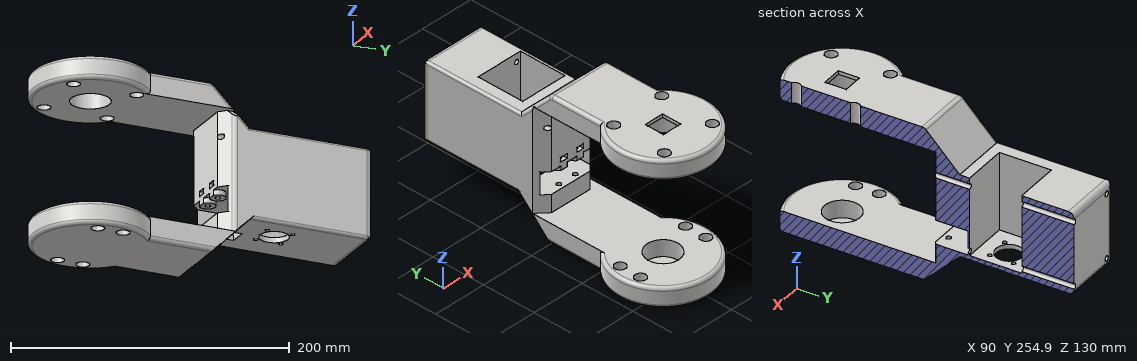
import cadquery as cq
import math

total_height = 130.0
arm_thickness = 18.0
disc_radius = 45.0
body_width = 60.0
body_height = 70.0
back_y = 209.87
slope_start_y = 113.2
wall_front_y = 91.2

arm_round = 3.0
knee_round = 5.0
body_round = 2.2
back_round = 5.0

top_z = total_height / 2
inner_z = top_z - arm_thickness
half_width = body_width / 2
half_body = body_height / 2
knee_y = slope_start_y - (top_z - half_body)
root_depth = 5.0
root_y = slope_start_y + root_depth
root_z = half_body - root_depth

chamfer_x = 10.0
chamfer_y = 9.2
chamfer_end_y = wall_front_y + chamfer_y
wall_corner_round = 5.0

relief_width = 4.5
relief_height = 5.0
relief_back_y = 103.5

disc_hole_d = 10.0
bore_d = 30.0
bore_depth = 15.0
square_side = 18.0
upper_hole_offset = (25.0, 25.0)
lower_hole_offset = (34.0, 10.0)

well_side = 44.0
well_x = 4.0
well_y = 143.6
floor_z = -31.0
well_bore_d = 22.0
well_screw_d = 3.3
well_screw_offset = 10.0

long_hole_d = 4.2
long_hole_x = 22.0
long_hole_z = 27.5

recess_width = 52.0
recess_height = 20.0
recess_back_y = 120.0
recess_top_z = floor_z + recess_height
cable_slot_x = (-14.0, 0.0)
cable_slot_front_y = 114.0
boss_x = (-7.0, 10.0)
boss_y = 96.2
boss_d = 12.0
boss_height = 4.0
boss_hole_d = 4.0
nut_flats = 7.0
nut_slot_height = 4.0
nut_slot_bottom_z = -7.5


def block(x0, x1, y0, y1, z0, z1):
    """Box given by its limits."""
    return cq.Workplane("XY").box(x1 - x0, y1 - y0, z1 - z0, centered=False).translate((x0, y0, z0))


def rod(x, y, z0, z1, diameter):
    """Vertical cylinder."""
    return cq.Workplane("XY").workplane(offset=z0).center(x, y).circle(diameter / 2).extrude(z1 - z0)


def mirrored_offsets(offset):
    """The four sign combinations of an (x, y) offset."""
    return [(sx * offset[0], sy * offset[1]) for sx in (-1, 1) for sy in (-1, 1)]


def make_fork():
    """C-shaped side outline: two arms, two 45 degree flares and the front wall."""
    outline = [
        (root_y, root_z),
        (knee_y, top_z),
        (0, top_z),
        (0, inner_z),
        (wall_front_y, inner_z),
        (wall_front_y, -inner_z),
        (0, -inner_z),
        (0, -top_z),
        (knee_y, -top_z),
        (root_y, -root_z),
    ]
    fork = cq.Workplane("YZ").polyline(outline).close().extrude(half_width, both=True)
    fork = fork.edges(cq.NearestToPointSelector((0, knee_y, top_z))).fillet(knee_round)
    fork = fork.faces(">Z").edges("|Y").fillet(arm_round)
    fork = fork.faces("<Z").edges("|Y").fillet(arm_round)
    return fork.cut(make_wall_corner_waste()).cut(make_corner_relief())


def make_wall_corner_waste():
    """Material beside the chamfered front wall, between the arms."""
    end_y = chamfer_end_y + wall_corner_round
    plan = [
        (-half_width, end_y),
        (-half_width, chamfer_end_y),
        (chamfer_x - half_width, wall_front_y),
        (half_width - chamfer_x, wall_front_y),
        (half_width, chamfer_end_y),
        (half_width, end_y),
    ]
    wall = cq.Workplane("XY").polyline(plan).close().extrude(inner_z, both=True)
    wall = wall.edges(cq.NearestToPointSelector((half_width, chamfer_end_y, 0))).fillet(wall_corner_round)
    slab = block(-half_width, half_width, wall_front_y, end_y, -inner_z, inner_z)
    return slab.cut(wall)


def make_corner_relief():
    """Slanted cut under the upper arm at the top of the +X wall corner."""
    triangle = [
        (half_width - relief_width, inner_z),
        (half_width, inner_z),
        (half_width, inner_z - relief_height),
    ]
    return (
        cq.Workplane("XZ", origin=(0, relief_back_y, 0))
        .polyline(triangle)
        .close()
        .extrude(relief_back_y - wall_front_y)
    )


def make_body():
    """Box with rounded long edges and larger rounds around its rear face."""
    front_y = slope_start_y - root_depth
    length = back_y - front_y
    middle_y = (back_y + front_y) / 2

    def blank():
        return cq.Workplane("XY").box(body_width, length, body_height).translate((0, middle_y, 0))

    long_rounded = blank().edges("|Y").fillet(body_round)
    plan_rounded = blank().faces(">Y").edges("|Z").fillet(back_round)
    side_rounded = blank().faces(">Y").edges("|X").fillet(back_round)
    return long_rounded.intersect(plan_rounded).intersect(side_rounded)


def make_disc(bottom_z):
    """Pivot disc with both rims rounded."""
    return rod(0, 0, bottom_z, bottom_z + arm_thickness, 2 * disc_radius).edges().fillet(arm_round)


def make_disc_cuts():
    """Facing blind bores, the square opening above and the bolt holes."""
    cuts = rod(0, 0, inner_z, inner_z + bore_depth, bore_d)
    cuts = cuts.union(rod(0, 0, -inner_z - bore_depth, -inner_z, bore_d))
    half_square = square_side / 2
    cuts = cuts.union(block(-half_square, half_square, -half_square, half_square, inner_z, top_z))
    for x, y in mirrored_offsets(upper_hole_offset):
        cuts = cuts.union(rod(x, y, inner_z, top_z, disc_hole_d))
    for x, y in mirrored_offsets(lower_hole_offset):
        cuts = cuts.union(rod(x, y, -top_z, -inner_z, disc_hole_d))
    return cuts


def make_well():
    """Square well open at the top, with a bore and four screw holes in its floor."""
    half_side = well_side / 2
    well = block(
        well_x - half_side, well_x + half_side,
        well_y - half_side, well_y + half_side,
        floor_z, half_body,
    )
    well = well.union(rod(well_x, well_y, -half_body, floor_z, well_bore_d))
    for dx, dy in mirrored_offsets((well_screw_offset, well_screw_offset)):
        well = well.union(rod(well_x + dx, well_y + dy, -half_body, floor_z, well_screw_d))
    return well


def make_long_holes():
    """Four screw holes running from the front wall to the rear face."""
    return (
        cq.Workplane("XZ", origin=(0, back_y, 0))
        .pushPoints(mirrored_offsets((long_hole_x, long_hole_z)))
        .circle(long_hole_d / 2)
        .extrude(back_y - wall_front_y)
    )


def make_front_recess():
    """Recess in the front wall, with two round bosses under its roof and a cable slot in its floor."""
    half_recess = recess_width / 2
    recess = block(-half_recess, half_recess, wall_front_y, recess_back_y, floor_z, recess_top_z)
    for x in boss_x:
        recess = recess.cut(rod(x, boss_y, recess_top_z - boss_height, recess_top_z, boss_d))
    cable_slot = block(*cable_slot_x, cable_slot_front_y, recess_back_y, -half_body, floor_z)
    return recess.union(cable_slot)


def make_nut_trap(x):
    """Hexagonal nut slot open to the front, plus the vertical screw hole below it."""
    hexagon = (
        cq.Workplane("XY", origin=(x, boss_y, nut_slot_bottom_z))
        .transformed(rotate=(0, 0, 90))
        .polygon(6, nut_flats / math.cos(math.pi / 6))
        .extrude(nut_slot_height)
    )
    mouth = block(
        x - nut_flats / 2, x + nut_flats / 2,
        wall_front_y, boss_y,
        nut_slot_bottom_z, nut_slot_bottom_z + nut_slot_height,
    )
    return hexagon.union(mouth).union(rod(x, boss_y, -top_z, nut_slot_bottom_z, boss_hole_d))


result = make_fork().union(make_body())
for disc_bottom_z in (-top_z, inner_z):
    result = result.union(make_disc(disc_bottom_z))
result = result.cut(make_disc_cuts()).cut(make_well()).cut(make_front_recess()).cut(make_long_holes())
for trap_x in boss_x:
    result = result.cut(make_nut_trap(trap_x))